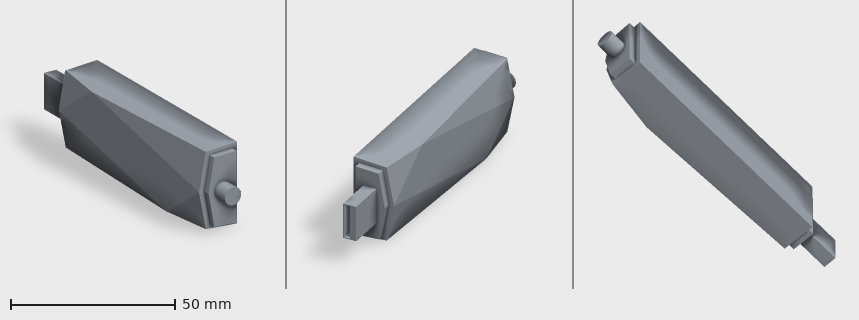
import cadquery as cq

plug_length = 12.9
collar_length = 2.5
total_length = 100.5
housing_length = 76.9
housing_start = plug_length + collar_length
housing_end = housing_start + housing_length
jack_start = housing_end + collar_length

housing_depth = 14.0
back_height = 27.0
back_half_height = back_height / 2
front_half_height = 12.6
corner_depth = 11.5
ridge_offset = 18.0
side_taper = (back_half_height - front_half_height) / housing_depth
corner_half_height = back_half_height - side_taper * corner_depth

collar_back_depth = 2.0
collar_corner_depth = 10.0
collar_apex_depth = 12.2
collar_back_half_height = 11.9
collar_corner_half_height = 11.5

connector_depth = housing_depth / 2
jack_diameter = 5.9
plug_thickness = 4.5
plug_height = 12.0
shell_wall = 0.3
tongue_thickness = 1.9
cavity_thickness = plug_thickness - 2 * shell_wall
cavity_height = plug_height - 2 * shell_wall


def x_prism(points, start, length):
    """Extrude a (Y, Z) outline along +X."""
    return cq.Workplane("YZ", origin=(start, 0, 0)).polyline(points).close().extrude(length)


def x_box(start, length, front_y, thickness, height):
    """Box centred on Z = 0 that grows from front_y toward +Y."""
    return cq.Workplane("XY").box(length, thickness, height, centered=(False, False, True)).translate(
        (start, front_y, 0)
    )


def tetrahedron(a, b, c, d):
    corners = [cq.Vector(*point) for point in (a, b, c, d)]
    faces = []
    for skipped in range(4):
        triangle = corners[:skipped] + corners[skipped + 1:]
        faces.append(cq.Face.makeFromWires(cq.Wire.makePolygon(triangle, close=True)))
    return cq.Solid.makeSolid(cq.Shell.makeShell(faces))


def make_housing_block():
    """Tapered bar with four corner facets that leave a parallelogram on the front."""
    block = x_prism(
        [
            (0, -back_half_height),
            (0, back_half_height),
            (-housing_depth, front_half_height),
            (-housing_depth, -front_half_height),
        ],
        housing_start,
        housing_length,
    )
    vertex_positions = ((1, housing_start + ridge_offset), (-1, housing_end - ridge_offset))
    for side, vertex_x in vertex_positions:
        vertex = (vertex_x, -housing_depth, side * front_half_height)
        for end_x in (housing_start, housing_end):
            end_middle = (end_x, -housing_depth, 0)
            removed_corner = (end_x, -housing_depth, side * front_half_height)
            kept_corner = (end_x, -corner_depth, side * corner_half_height)
            block = block.cut(cq.Workplane(tetrahedron(end_middle, vertex, removed_corner, kept_corner)))
    return block


def make_collars():
    outline = [
        (-collar_back_depth, -collar_back_half_height),
        (-collar_back_depth, collar_back_half_height),
        (-collar_corner_depth, collar_corner_half_height),
        (-collar_apex_depth, 0),
        (-collar_corner_depth, -collar_corner_half_height),
    ]
    return x_prism(outline, plug_length, jack_start - plug_length)


def make_plug_shell():
    """Thin-walled rectangular sleeve, open at the end and closed by the collar."""
    front_y = -connector_depth - plug_thickness / 2
    sleeve = x_box(0, plug_length, front_y, plug_thickness, plug_height)
    cavity = x_box(0, plug_length, front_y + shell_wall, cavity_thickness, cavity_height)
    return sleeve.cut(cavity)


def make_jack():
    return (
        cq.Workplane("YZ", origin=(jack_start, -connector_depth, 0))
        .circle(jack_diameter / 2)
        .extrude(total_length - jack_start)
    )


def make_housing():
    return make_housing_block().union(make_collars()).union(make_plug_shell()).union(make_jack())


def make_tongue():
    """Contact carrier that fills the front half of the plug's cavity."""
    front_y = -connector_depth - cavity_thickness / 2
    return x_box(0, plug_length, front_y, tongue_thickness, cavity_height)


housing = make_housing()
tongue = make_tongue()
result = cq.Compound.makeCompound([housing.val(), tongue.val()])